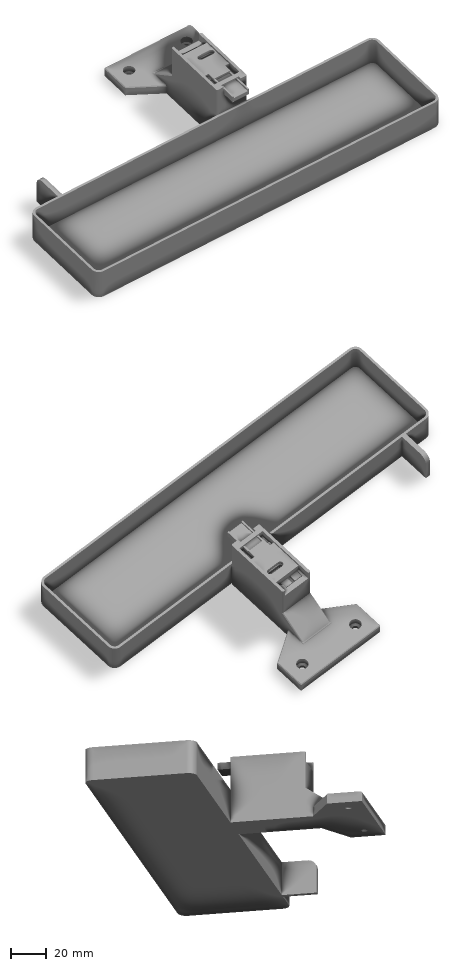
import cadquery as cq


overall_length = 144.0
tray_length = 240.0
tray_width = 64.0
tray_height = 19.5
tray_wall = 1.5
tray_floor = 1.5
tray_corner_radius = 5.0
tray_end_y = 98.9
tray_left = overall_length - tray_width
tray_center_x = tray_left + tray_width / 2
tray_center_y = tray_end_y - tray_length / 2

tab_length = 20.0
tab_thickness = 3.0
tab_corner_radius = 5.0
tab_end_offset = 20.0
tab_start_x = tray_left - tab_length
tab_start_y = tray_end_y - tray_length + tab_end_offset

plate_width = 60.0
plate_thickness = 6.0
plate_straight_length = 20.0
plate_end_x = 32.5
edge_break = 0.5
foot_break = 0.3
screw_x = 10.0
screw_spacing = 40.0
screw_diameter = 3.5
screw_head_diameter = 7.0
screw_head_depth = 4.0

tower_width = 21.0
tower_height = 38.8
ramp_start_x = 20.0
ramp_end_x = 37.0
ramp_top_z = 17.5

cavity_width = 17.5
cavity_floor_z = 33.5
cavity_end_x = 75.2
roof_end_x = 78.0
passage_width = 12.0
passage_top_z = 37.7

recess_start_x = 40.4
recess_end_x = 58.0
recess_y_min = -7.6
recess_y_max = 4.7
recess_depth = 3.5
recess_floor_z = cavity_floor_z - recess_depth
block_gap = 0.7
block_top_z = cavity_floor_z - block_gap
recess_flare_x = 43.2
recess_flare_y = 7.2
block_groove_width = 2.2
block_groove_depth = 1.5

bolt_start_x = 44.8
bolt_shoulder_x = 65.7
bolt_step_x = 70.8
bolt_end_x = 88.5
bolt_body_width = 17.0
bolt_body_top_z = 38.0
tongue_width = 11.5
tongue_top_z = 37.5
lip_width = 1.0
tongue_groove_depth = 1.3

arm_step_x = 68.7
arm_end_x = 73.4
arm_outer_y = -8.0
arm_high_z = 36.0
arm_low_z = 35.0

slot_x = 52.4
slot_y_min = -3.3
slot_y_max = 7.8
slot_center_y = (slot_y_min + slot_y_max) / 2
slot_length = slot_y_max - slot_y_min
slot_width = 3.5
lower_slot_width = 2.5
slot_step_z = (cavity_floor_z + bolt_body_top_z) / 2


def box(x0, x1, y0, y1, z0, z1):
    size = (x1 - x0, y1 - y0, z1 - z0)
    return cq.Workplane("XY").box(*size, centered=False).translate((x0, y0, z0))


def centered_box(x0, x1, width, z0, z1):
    return box(x0, x1, -width / 2, width / 2, z0, z1)


def make_tab():
    tab = box(
        tab_start_x, tray_left + tray_wall,
        tab_start_y, tab_start_y + tab_thickness,
        0, tray_height,
    )
    return tab.faces("<X").edges(">Z").fillet(tab_corner_radius)


def make_tray():
    outer = (
        cq.Workplane("XY")
        .rect(tray_width, tray_length)
        .extrude(tray_height)
        .edges("|Z")
        .fillet(tray_corner_radius)
    )
    inner = (
        cq.Workplane("XY", origin=(0, 0, tray_floor))
        .rect(tray_width - 2 * tray_wall, tray_length - 2 * tray_wall)
        .extrude(tray_height - tray_floor)
        .edges("|Z")
        .fillet(tray_corner_radius - tray_wall)
    )
    tray = outer.cut(inner).translate((tray_center_x, tray_center_y, 0))
    return tray.union(make_tab())


def make_plate():
    outline = [
        (0, -plate_width / 2),
        (plate_straight_length, -plate_width / 2),
        (plate_end_x, -tower_width / 2),
        (plate_end_x, tower_width / 2),
        (plate_straight_length, plate_width / 2),
        (0, plate_width / 2),
    ]
    plate = cq.Workplane("XY").polyline(outline).close().extrude(plate_thickness)
    plate = plate.edges("|Z and <X").chamfer(edge_break)
    plate = plate.faces(">Z").edges("not >X").chamfer(edge_break)
    return (
        plate.faces(">Z")
        .workplane(origin=(screw_x, 0, 0))
        .rarray(1, screw_spacing, 1, 2)
        .cboreHole(screw_diameter, screw_head_diameter, screw_head_depth)
    )


def make_tower():
    profile = [
        (ramp_start_x, plate_thickness),
        (ramp_end_x, ramp_top_z),
        (ramp_end_x, tower_height),
        (tray_left, tower_height),
        (tray_left, 0),
        (ramp_start_x, 0),
    ]
    tower = cq.Workplane("XZ").polyline(profile).close().extrude(tower_width / 2, both=True)
    return tower.faces("<Y or >Y").edges("not |X").chamfer(edge_break)


def make_tower_foot():
    """Sloped skirt where the tower rises from the plate."""
    foot_start_x = ramp_start_x - edge_break
    foot_length = plate_end_x - edge_break - foot_start_x
    return (
        cq.Workplane("XY", origin=(foot_start_x + foot_length / 2, 0, plate_thickness))
        .rect(foot_length, tower_width + 2 * foot_break)
        .extrude(foot_break, taper=45)
    )


def make_block_recess():
    """Pocket for the block, flaring toward +Y where it runs under the bolt."""
    outline = [
        (recess_start_x, recess_y_min),
        (recess_end_x, recess_y_min),
        (recess_end_x, recess_flare_y),
        (bolt_start_x, recess_flare_y),
        (recess_flare_x, recess_y_max),
        (recess_start_x, recess_y_max),
    ]
    return (
        cq.Workplane("XY", origin=(0, 0, recess_floor_z))
        .polyline(outline)
        .close()
        .extrude(recess_depth)
    )


def make_bracket():
    bracket = make_plate().union(make_tower()).union(make_tower_foot())
    cavity = centered_box(ramp_end_x, cavity_end_x, cavity_width, cavity_floor_z, tower_height)
    passage = centered_box(cavity_end_x, tray_left, passage_width, cavity_floor_z, passage_top_z)
    roof_notch = centered_box(roof_end_x, tray_left, passage_width, cavity_floor_z, tower_height)
    return bracket.cut(cavity).cut(passage).cut(roof_notch).cut(make_block_recess())


def make_block():
    block_start_x = recess_start_x + block_gap
    block = box(block_start_x, recess_end_x, recess_y_min, recess_y_max, recess_floor_z, block_top_z)
    groove_y = (recess_y_min + recess_y_max) / 2
    groove = centered_box(
        block_start_x, recess_end_x, block_groove_width, block_top_z - block_groove_depth, block_top_z
    )
    return block.cut(groove.translate((0, groove_y, 0)))


def make_slot_cutter(width, bottom_z):
    length = slot_length - (slot_width - width)
    return (
        cq.Workplane("XY", origin=(slot_x, slot_center_y, bottom_z))
        .slot2D(length, width, 90)
        .extrude(bolt_body_top_z - bottom_z)
    )


def make_arm():
    high = box(bolt_shoulder_x, arm_step_x, arm_outer_y, -tongue_width / 2, cavity_floor_z, arm_high_z)
    low = box(arm_step_x, arm_end_x, arm_outer_y, -tongue_width / 2, cavity_floor_z, arm_low_z)
    return high.union(low)


def make_bolt():
    body = centered_box(bolt_start_x, bolt_shoulder_x, bolt_body_width, cavity_floor_z, bolt_body_top_z)
    neck = centered_box(bolt_shoulder_x, bolt_step_x, tongue_width, cavity_floor_z, bolt_body_top_z)
    tongue = centered_box(bolt_step_x, bolt_end_x, tongue_width, cavity_floor_z, tongue_top_z)
    tongue_groove = centered_box(
        bolt_step_x, bolt_end_x, tongue_width - 2 * lip_width,
        tongue_top_z - tongue_groove_depth, tongue_top_z,
    )
    bolt = body.union(neck).union(tongue).cut(tongue_groove).union(make_arm())
    bolt = bolt.cut(make_slot_cutter(slot_width, slot_step_z))
    return bolt.cut(make_slot_cutter(lower_slot_width, cavity_floor_z))


tray = make_tray()
bracket = make_bracket()
block = make_block()
bolt = make_bolt()

result = cq.Compound.makeCompound([tray.val(), bracket.val(), block.val(), bolt.val()])